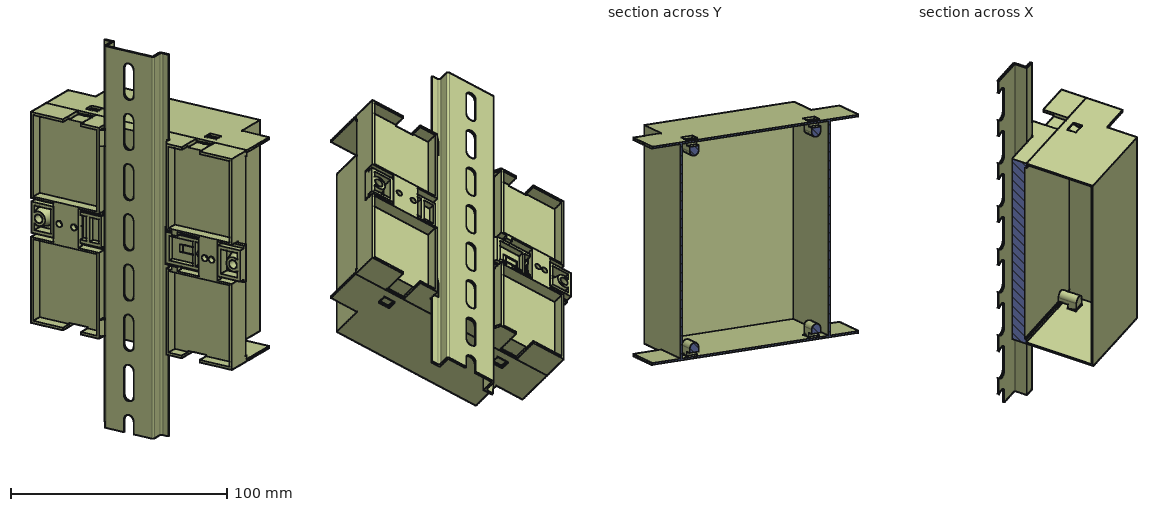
import cadquery as cq


case_length = 110.0
case_width = 105.0
case_height = 48.3
split_y = 13.1
step_y = 32.3
block_length = 80.0
housing_wall = 1.1

base_wall = 1.3
floor_y = 5.5
slab_top_y = 12.2
ledge_width = 2.8
recess_left = -17.7
recess_right = 19.0
rib_half = 10.6
channel_half = 9.7
hook_reach = 3.0
hook_length = 8.0
catch_reach = 2.0
catch_y = 4.0
flange_gap = 0.2

latch_x = 32.5
window_width = 6.0
window_bottom_y = 17.1
window_top_y = 21.7
notch_width = 9.9
notch_depth = 1.9
latch_width = 5.0
latch_outer_z = 49.5
latch_thick = 2.3
latch_bump = 1.3

clip_half = 9.1
block_half = 7.8
clip_front_y = 0.4
inner_front_y = 1.7
plate_front_y = 3.5
pocket_half = 6.0
pocket_floor_y = 4.5
left_bridge = (-42.8, -29.0)
right_bridge = (36.9, 47.1)
left_holes = (-39.5, -31.5)
right_holes = (40.0, 43.9)
hole_radius = 1.5
clip_overhang = 4.4
left_clip_end = recess_left
right_clip_end = case_length / 2 + clip_overhang
nose_x = 16.0
nose_length = 1.9
nose_under_y = 4.0
stop_start = 22.0
stop_end = 25.3
lock_shift = 0.5
pry_edge = 1.7
pry_length = 9.0
eye_offset = 4.0
eye_radius = 2.0
eye_top_radius = 3.6
eye_foot_radius = 5.1
left_opening = (-29.0, -25.6)
left_pocket = (-24.0, -18.8)
right_opening = (33.8, 36.9)
right_pocket = (19.5, 32.7)
seat_slot = (23.5, 31.5)
seat_slot_half = 1.9
seat_step_x = 25.3
seat_step_y = 4.8
seat_floor_y = 5.1
spring_half = 5.5
spring_thick = 1.5
spring_front_y = 3.0

rail_length = 190.0
rail_width = 35.0
channel_width = 27.0
rail_depth = 7.5
rail_thick = 1.0
bend_outer = 1.0
bend_inner = 0.4
rail_front_y = -2.3
slot_width = 5.3
slot_length = 18.0
slot_count = 8
top_slot_z = 80.0
slot_pitch = (top_slot_z + rail_length / 2) / (slot_count - 1)

half_length = case_length / 2
half_width = case_width / 2


def box(x0, x1, y0, y1, z0, z1):
    """Box between two opposite corners."""
    return cq.Workplane("XY").box(x1 - x0, y1 - y0, z1 - z0, centered=False).translate((x0, y0, z0))


def prism(points, z0, z1):
    """X-Y outline extruded from z0 to z1."""
    return cq.Workplane("XY", origin=(0, 0, z0)).polyline(points).close().extrude(z1 - z0)


def cylinder(x, radius, y0, y1):
    """Round bar along Y in the middle of the case width."""
    return cq.Workplane("XZ", origin=(0, y0, 0)).center(x, 0).circle(radius).extrude(y0 - y1)


def both_ends(shape):
    """The shape together with its mirror image at the other Z end."""
    return shape.union(shape.mirror("XY"))


def make_housing():
    block_half_length = block_length / 2
    body = box(-block_half_length, block_half_length, split_y, case_height, -half_width, half_width)
    body = body.union(both_ends(
        box(-half_length, half_length, split_y, step_y, half_width - housing_wall, half_width)
    ))
    inner_x = block_half_length - housing_wall
    inner_z = half_width - housing_wall
    body = body.cut(box(-inner_x, inner_x, split_y, case_height - housing_wall, -inner_z, inner_z))
    for x in (-latch_x, latch_x):
        body = body.cut(box(
            x - window_width / 2, x + window_width / 2, window_bottom_y, window_top_y,
            -half_width, half_width,
        ))
    return body


def make_latch(x):
    """Snap arm with a rounded back and a sloping catch at its tip."""
    radius = latch_width / 2
    inner_z = latch_outer_z - latch_thick
    arm = box(x - radius, x + radius, slab_top_y, window_top_y, inner_z, latch_outer_z)
    back = (
        cq.Workplane("XZ", origin=(0, slab_top_y, 0)).center(x, inner_z)
        .circle(radius).extrude(slab_top_y - window_top_y)
    )
    back = back.cut(box(x - radius, x + radius, slab_top_y, window_top_y, inner_z, half_width))
    catch = (
        cq.Workplane("YZ", origin=(x - radius, 0, 0))
        .moveTo(window_bottom_y, latch_outer_z)
        .lineTo(window_bottom_y, latch_outer_z + latch_bump + housing_wall)
        .lineTo(window_top_y, latch_outer_z + latch_bump)
        .lineTo(window_top_y, latch_outer_z)
        .close()
        .extrude(latch_width)
    )
    return arm.union(back).union(catch)


def make_base():
    body = box(-half_length, half_length, 0, slab_top_y, -half_width, half_width)
    body = body.union(both_ends(
        box(-half_length, half_length, slab_top_y, split_y, half_width - ledge_width, half_width)
    ))
    body = body.cut(box(recess_left, recess_right, 0, floor_y, -half_width, half_width))

    sides = (
        (-half_length, recess_left, left_bridge, left_holes),
        (recess_right, half_length, right_bridge, right_holes),
    )
    for x0, x1, bridge, holes in sides:
        pocket = box(x0 + base_wall, x1 - base_wall, 0, floor_y, rib_half, half_width - base_wall)
        body = body.cut(both_ends(pocket))
        body = body.cut(box(x0, x1, 0, floor_y, -channel_half, channel_half))
        body = body.union(box(*bridge, 0, plate_front_y, -channel_half, channel_half))
        for x in holes:
            body = body.cut(cylinder(x, hole_radius, 0, plate_front_y))

    body = body.union(both_ends(
        box(stop_start, stop_end, 0, plate_front_y, block_half, channel_half)
    ))

    for x in (-latch_x, latch_x):
        notch_x = (x - notch_width / 2, x + notch_width / 2)
        body = body.cut(both_ends(box(*notch_x, 0, split_y, half_width - notch_depth, half_width)))
        body = body.union(both_ends(make_latch(x)))

    hook_outline = [
        (recess_left, 0),
        (recess_left, plate_front_y),
        (recess_left + hook_reach, plate_front_y),
        (recess_left + hook_reach, hook_reach),
    ]
    hook_end_z = half_width - base_wall
    body = body.union(both_ends(prism(hook_outline, hook_end_z - hook_length, hook_end_z)))

    catch_outline = [
        (recess_right, 0),
        (recess_right - catch_reach, catch_y),
        (rail_width / 2 + flange_gap, catch_y),
        (rail_width / 2 + flange_gap, floor_y),
        (recess_right, floor_y),
    ]
    return body.union(both_ends(prism(catch_outline, hook_end_z, half_width)))


def add_pry_eye(clip, x0, x1, eye_x):
    """Opening at the outer end of a clip with a conical eye for a screwdriver."""
    opening = box(x0, x1, clip_front_y, floor_y, -pocket_half, pocket_half)
    eye = (
        cq.Workplane("XZ", origin=(0, floor_y, 0)).center(eye_x, 0).circle(eye_foot_radius)
        .workplane(offset=floor_y - clip_front_y).circle(eye_top_radius).loft()
    )
    clip = clip.cut(opening).union(eye.intersect(opening))
    return clip.cut(cylinder(eye_x, eye_radius, clip_front_y, floor_y))


def make_clip_body(x0, x1, outer_block, inner_block, openings, locking_hole_x):
    """Sliding plate with a raised block on each side of its bridge and open pockets."""
    body = box(x0, x1, plate_front_y, floor_y, -clip_half, clip_half)
    body = body.union(box(*outer_block, clip_front_y, plate_front_y, -block_half, block_half))
    body = body.union(box(*inner_block, inner_front_y, plate_front_y, -block_half, block_half))
    for opening in openings:
        body = body.cut(box(*opening, inner_front_y, pocket_floor_y, -pocket_half, pocket_half))
    return body.cut(cylinder(locking_hole_x, hole_radius, plate_front_y, floor_y))


def make_left_clip():
    body = make_clip_body(
        -half_length, left_clip_end,
        outer_block=(-half_length, left_bridge[0]),
        inner_block=(left_bridge[1], left_clip_end),
        openings=(left_opening, left_pocket),
        locking_hole_x=left_holes[1] + lock_shift,
    )
    pry_start = -half_length + pry_edge
    return add_pry_eye(body, pry_start, pry_start + pry_length, -half_length + eye_offset)


def make_right_clip():
    body = make_clip_body(
        nose_x, right_clip_end,
        outer_block=(right_bridge[1], right_clip_end),
        inner_block=(nose_x, right_bridge[0]),
        openings=(right_pocket, right_opening),
        locking_hole_x=right_holes[0] + lock_shift,
    )

    shoulder_x = nose_x + nose_length
    slope = [(nose_x, inner_front_y), (shoulder_x, inner_front_y), (nose_x, nose_under_y)]
    body = body.cut(prism(slope, -clip_half, clip_half))
    body = body.cut(box(nose_x, shoulder_x, nose_under_y, floor_y, -clip_half, clip_half))

    slot_start, slot_end = seat_slot
    body = body.cut(box(
        slot_start, slot_end, pocket_floor_y, seat_step_y, -seat_slot_half, seat_slot_half
    ))
    body = body.cut(box(
        seat_step_x, slot_end, seat_step_y, seat_floor_y, -seat_slot_half, seat_slot_half
    ))

    tip_x, back_x = right_opening
    inner_half = spring_half * (back_x - tip_x - spring_thick) / (back_x - tip_x)
    spring_outline = [
        (tip_x, 0),
        (back_x, spring_half),
        (back_x, inner_half),
        (tip_x + spring_thick, 0),
        (back_x, -inner_half),
        (back_x, -spring_half),
    ]
    spring = (
        cq.Workplane("XZ", origin=(0, pocket_floor_y, 0))
        .polyline(spring_outline).close().extrude(pocket_floor_y - spring_front_y)
    )
    body = body.union(spring)
    pry_end = right_clip_end - pry_edge
    return add_pry_eye(body, pry_end - pry_length, pry_end, right_clip_end - eye_offset)


def make_rail():
    """Slotted hat rail with rounded bends."""
    back_y = rail_front_y + rail_depth
    half_rail = rail_width / 2
    half_channel = channel_width / 2
    low_z = -rail_length / 2
    flanges = box(-half_rail, half_rail, back_y - rail_thick, back_y, low_z, -low_z)
    channel = box(-half_channel, half_channel, rail_front_y, back_y, low_z, -low_z)
    rail = flanges.union(channel)
    flange_bend = cq.selectors.BoxSelector(
        (-half_channel - bend_inner, back_y - rail_thick - bend_inner, low_z),
        (half_channel + bend_inner, back_y - rail_thick + bend_inner, -low_z),
    )
    rail = rail.edges("|Z").edges(flange_bend).fillet(bend_outer)
    rail = rail.edges("|Z and <Y").fillet(bend_outer)
    inner_half = half_channel - rail_thick
    hollow = box(-inner_half, inner_half, rail_front_y + rail_thick, back_y, low_z, -low_z)
    hollow = hollow.edges("|Z and <Y").fillet(bend_inner)
    rail = rail.cut(hollow)

    slot_centres = [(0, low_z + index * slot_pitch) for index in range(slot_count)]
    slots = (
        cq.Workplane("XZ", origin=(0, back_y, 0)).pushPoints(slot_centres)
        .slot2D(slot_length, slot_width, 90).extrude(rail_depth)
    )
    return rail.cut(slots)


housing = make_housing()
base = make_base()
left_clip = make_left_clip()
right_clip = make_right_clip()
rail = make_rail()

result = cq.Compound.makeCompound([
    housing.solids().val(),
    base.solids().val(),
    left_clip.solids().val(),
    right_clip.solids().val(),
    rail.solids().val(),
])